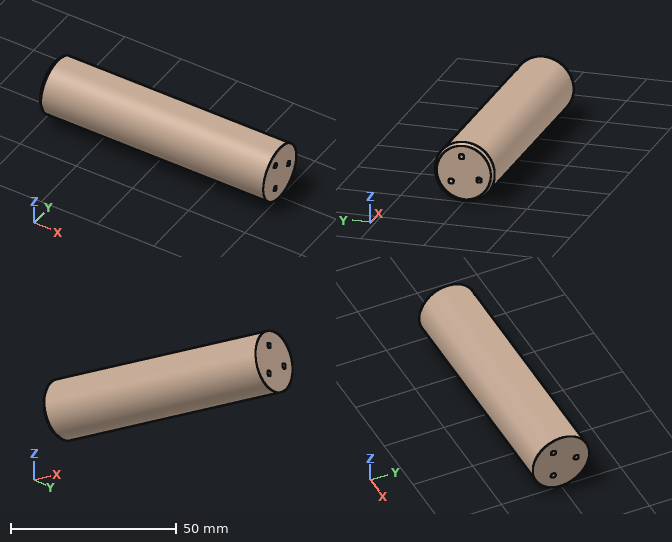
import cadquery as cq
import math

length = 80.0
diameter = 19.0
chamfer = 1.0

hole_count = 3
hole_diameter = 1.6
hole_circle_radius = 5.1
first_hole_angle = 81.7
helix_angle = 30.0
helix_pitch = math.pi * diameter / math.tan(math.radians(helix_angle))
total_twist = 360 * length / helix_pitch


def make_bar():
    """Bar starting at X = 0, chamfered at that end only."""
    bar = cq.Workplane("YZ").circle(diameter / 2).extrude(length)
    return bar.faces("<X").edges().chamfer(chamfer)


def make_helical_hole(start_angle):
    """Twisted rod around the X axis with a round cross-section."""
    angle = math.radians(start_angle)
    hole_y = hole_circle_radius * math.cos(angle)
    hole_z = hole_circle_radius * math.sin(angle)
    return (
        cq.Workplane("YZ")
        .moveTo(hole_y, hole_z)
        .circle(hole_diameter / 2)
        .twistExtrude(length, total_twist)
    )


result = make_bar()
for index in range(hole_count):
    result = result.cut(make_helical_hole(first_hole_angle + index * 360 / hole_count))

result = result.translate((-length / 2, 0, 0))